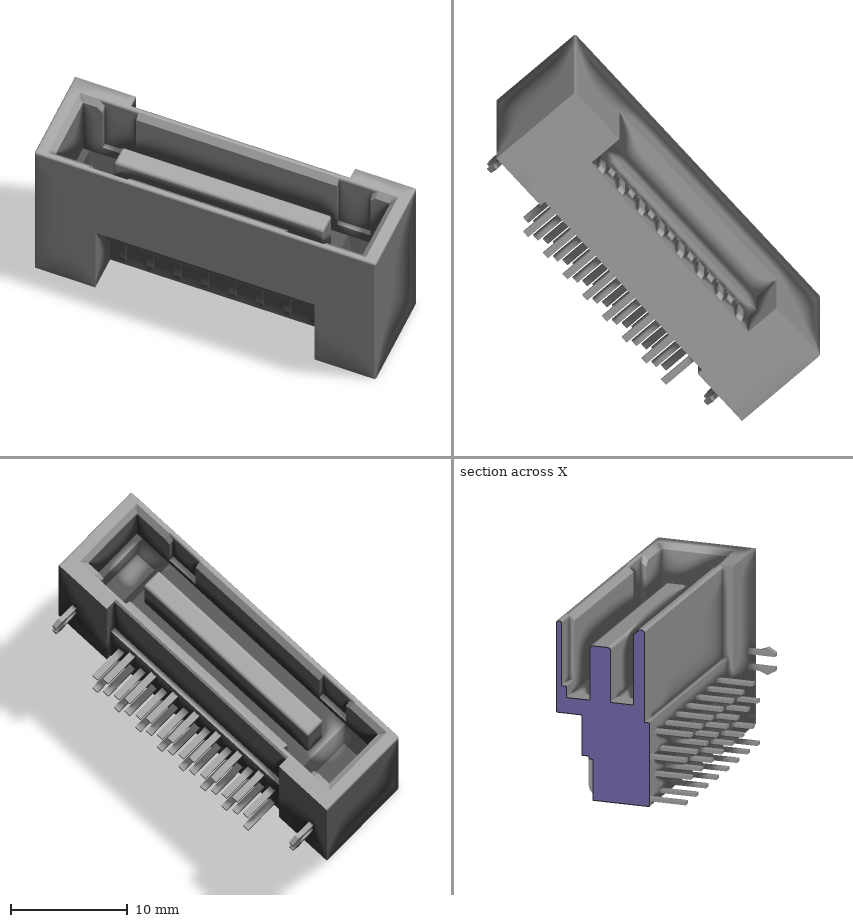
import cadquery as cq


LENGTH = 31.65
DEPTH = 9.0
HEIGHT = 15.8
EDGE_RADIUS = 0.2

RELIEF_LENGTH = 20.3
FRONT_RELIEF_HEIGHT = 7.55
FRONT_RELIEF_DEPTH = 2.3
PIN_RELIEF_HEIGHT = 3.93
PIN_WALL_Y = 3.3
REAR_WALL_Y = 8.05
REAR_WALL_CHAMFER = 0.2
REAR_LEDGE_Y = 8.5
REAR_LEDGE_HEIGHT = FRONT_RELIEF_HEIGHT

CAVITY_LENGTH = 28.45
CAVITY_FRONT_Y = 0.97
CAVITY_REAR_Y = 7.02
CAVITY_FLOOR_Z = 9.0
MOUTH_BEVEL = 0.52

KEYWAY_DEPTH = 0.47
KEYWAY_BOTTOM_Z = 10.0
KEYWAY_END_BEVEL = 0.5
KEYWAY_RIM_RADIUS = 0.23
REAR_KEYWAY_INNER_X = 9.3
REAR_KEYWAY_OUTER_X = 12.4
FRONT_KEYWAY_INNER_X = 7.3
FRONT_KEYWAY_OUTER_X = 10.4

POCKET_MOUTH_X = (10.35, 13.6)
POCKET_BOTTOM_X = (11.2, 13.25)
POCKET_BOTTOM_Y = (2.0, 6.0)
POCKET_DEPTH = 1.4

TONGUE_LENGTH = 19.4
TONGUE_THICKNESS = 1.9
TONGUE_Y = 4.0
TONGUE_TOP_Z = 13.9
TONGUE_RADIUS = 0.3
TONGUE_CORNER_RADIUS = 0.2

PIN_COUNT = 15
PIN_PITCH = 1.27
PIN_WIDTH = 0.62
PIN_THICKNESS = 0.3
PIN_TIP_Y = 11.8
LOWEST_ROW_Z = 0.62
ROW_PITCH = 1.905
PIN_PROTRUSION = 0.33
PIN_BEND_RADIUS = 0.87
SHOULDER_WIDTH = 1.08
SHOULDER_HEIGHT = 0.26

PEG_SPACING = 27.94
PEG_WIDTH = 0.45
PEG_CENTER_Z = 6.4
PRONG_TIP_Y = 11.5
PRONG_INNER = 0.475
PRONG_OUTER = 0.92
PRONG_SHOULDER = 1.16
PRONG_BARB = 1.22
PRONG_TIP = 0.82
PRONG_NECK_Y = 10.05
PRONG_BARB_Y = (10.7, 10.9)


def block(x_range, y_range, z_range):
    """Axis-aligned box spanning the three ranges."""
    size = [high - low for low, high in (x_range, y_range, z_range)]
    corner = (x_range[0], y_range[0], z_range[0])
    return cq.Workplane("XY").box(*size, centered=False).translate(corner)


def tapered_block(bottom_x, bottom_y, bottom_z, top_x, top_y, top_z):
    """Flat-sided block between a bottom rectangle and a top rectangle."""
    def center(span):
        return (span[0] + span[1]) / 2

    def size(span):
        return span[1] - span[0]

    shift = (center(top_x) - center(bottom_x), center(top_y) - center(bottom_y))
    return (
        cq.Workplane("XY")
        .workplane(offset=bottom_z)
        .center(center(bottom_x), center(bottom_y))
        .rect(size(bottom_x), size(bottom_y))
        .workplane(offset=top_z - bottom_z)
        .center(*shift)
        .rect(size(top_x), size(top_y))
        .loft(ruled=True)
    )


def centered(length):
    return (-length / 2, length / 2)


def both_ends(shape):
    """The shape together with its mirror image across the YZ plane."""
    return shape.union(shape.mirror("YZ"))


def make_housing():
    relief_x = centered(RELIEF_LENGTH)
    housing = block(centered(LENGTH), (0, DEPTH), (0, HEIGHT))
    housing = housing.edges("|Z and <Y").fillet(EDGE_RADIUS)
    housing = housing.faces(">Z").edges("not >Y").fillet(EDGE_RADIUS)
    housing = housing.cut(block(relief_x, (REAR_WALL_Y, DEPTH), (REAR_LEDGE_HEIGHT, HEIGHT)))
    rear_wall_edge = cq.selectors.NearestToPointSelector((0, REAR_WALL_Y, HEIGHT))
    housing = housing.edges(rear_wall_edge).chamfer(REAR_WALL_CHAMFER)
    housing = housing.cut(block(relief_x, (REAR_LEDGE_Y, DEPTH), (0, REAR_LEDGE_HEIGHT)))
    housing = housing.cut(block(relief_x, (0, FRONT_RELIEF_DEPTH), (0, FRONT_RELIEF_HEIGHT)))
    return housing.cut(block(relief_x, (0, PIN_WALL_Y), (0, PIN_RELIEF_HEIGHT)))


def make_cavity():
    cavity_x = centered(CAVITY_LENGTH)
    cavity_y = (CAVITY_FRONT_Y, CAVITY_REAR_Y)
    bevel_z = HEIGHT - MOUTH_BEVEL
    mouth_x = centered(CAVITY_LENGTH + 2 * MOUTH_BEVEL)
    mouth_y = (CAVITY_FRONT_Y - MOUTH_BEVEL, CAVITY_REAR_Y + MOUTH_BEVEL)
    cavity = block(cavity_x, cavity_y, (CAVITY_FLOOR_Z, HEIGHT))
    return cavity.union(tapered_block(cavity_x, cavity_y, bevel_z, mouth_x, mouth_y, HEIGHT))


def make_keyway(inner_x, outer_x, wall_y, floor_y):
    """Pair of keyways cut from the cavity wall at wall_y back to floor_y."""
    outward = 1 if floor_y > wall_y else -1
    bevelled_x = outer_x + KEYWAY_END_BEVEL
    slot = block((inner_x, outer_x), sorted((TONGUE_Y, floor_y)), (KEYWAY_BOTTOM_Z, HEIGHT))

    rim = (
        cq.Workplane("YZ", origin=(inner_x, floor_y, HEIGHT))
        .moveTo(0, -KEYWAY_RIM_RADIUS)
        .radiusArc((outward * KEYWAY_RIM_RADIUS, 0), outward * KEYWAY_RIM_RADIUS)
        .lineTo(0, 0)
        .close()
        .extrude(bevelled_x - inner_x)
    )

    bevel_foot = cq.Wire.makePolygon(
        [
            cq.Vector(outer_x, wall_y, HEIGHT - MOUTH_BEVEL - KEYWAY_END_BEVEL),
            cq.Vector(bevelled_x, wall_y, HEIGHT - MOUTH_BEVEL),
            cq.Vector(outer_x, wall_y, HEIGHT - MOUTH_BEVEL),
        ],
        close=True,
    )
    bevel_run = cq.Vector(0, floor_y - wall_y, abs(floor_y - wall_y))
    end_bevel = cq.Solid.extrudeLinear(bevel_foot, [], bevel_run)

    return both_ends(slot.union(rim).union(cq.Workplane(end_bevel)))


def make_keyways():
    rear_y = CAVITY_REAR_Y + KEYWAY_DEPTH
    front_y = CAVITY_FRONT_Y - KEYWAY_DEPTH
    rear = make_keyway(REAR_KEYWAY_INNER_X, REAR_KEYWAY_OUTER_X, CAVITY_REAR_Y, rear_y)
    front = make_keyway(FRONT_KEYWAY_INNER_X, FRONT_KEYWAY_OUTER_X, CAVITY_FRONT_Y, front_y)
    return rear.union(front)


def make_pockets():
    bottom_z = CAVITY_FLOOR_Z - POCKET_DEPTH
    mouth_y = (CAVITY_FRONT_Y, CAVITY_REAR_Y)
    return both_ends(
        tapered_block(POCKET_BOTTOM_X, POCKET_BOTTOM_Y, bottom_z, POCKET_MOUTH_X, mouth_y, CAVITY_FLOOR_Z)
    )


def make_tongue():
    half_thickness = TONGUE_THICKNESS / 2
    tongue_y = (TONGUE_Y - half_thickness, TONGUE_Y + half_thickness)
    tongue = block(centered(TONGUE_LENGTH), tongue_y, (CAVITY_FLOOR_Z, TONGUE_TOP_Z))
    tongue = tongue.edges("|Z").fillet(TONGUE_CORNER_RADIUS)
    return tongue.faces(">Z").edges().fillet(TONGUE_RADIUS)


def make_bent_pin(x, row_z):
    """Front-row pin: comes down the front of the pin wall and bends rearward at row_z."""
    front_y = PIN_WALL_Y - PIN_PROTRUSION
    bottom_z = row_z - PIN_THICKNESS / 2
    embedded_y = front_y + PIN_BEND_RADIUS + PIN_THICKNESS
    pin_x = (x - PIN_WIDTH / 2, x + PIN_WIDTH / 2)
    shoulder_x = (x - SHOULDER_WIDTH / 2, x + SHOULDER_WIDTH / 2)
    shoulder_z = (PIN_RELIEF_HEIGHT - SHOULDER_HEIGHT, PIN_RELIEF_HEIGHT)
    drop = block(pin_x, (front_y, embedded_y), (bottom_z, PIN_RELIEF_HEIGHT))
    drop = drop.edges("|X and <Y and <Z").fillet(PIN_BEND_RADIUS)
    return drop.union(block(shoulder_x, (front_y, PIN_WALL_Y), shoulder_z))


def make_tail(x, row_z):
    """Straight pin tail leaving the rear of the housing."""
    half_thickness = PIN_THICKNESS / 2
    pin_x = (x - PIN_WIDTH / 2, x + PIN_WIDTH / 2)
    return block(pin_x, (REAR_WALL_Y, PIN_TIP_Y), (row_z - half_thickness, row_z + half_thickness))


def add_pins(body):
    for index in range(PIN_COUNT):
        x = (index - (PIN_COUNT - 1) / 2) * PIN_PITCH
        front_row_z = LOWEST_ROW_Z + (index % 2) * ROW_PITCH
        rear_row_z = front_row_z + 2 * ROW_PITCH
        body = body.union(make_bent_pin(x, front_row_z))
        body = body.union(make_tail(x, front_row_z))
        body = body.union(make_tail(x, rear_row_z))
    return body


def make_prong(x):
    """Upper prong of a snap peg, with its barb facing away from the peg's centre plane."""
    root_y = REAR_WALL_Y
    barb_peak_y = sum(PRONG_BARB_Y) / 2
    prong = (
        cq.Workplane("YZ")
        .moveTo(root_y, PRONG_INNER)
        .lineTo(PRONG_TIP_Y, PRONG_INNER)
        .lineTo(PRONG_TIP_Y, PRONG_TIP)
        .lineTo(PRONG_BARB_Y[1], PRONG_SHOULDER)
        .threePointArc((barb_peak_y, PRONG_BARB), (PRONG_BARB_Y[0], PRONG_SHOULDER))
        .lineTo(PRONG_NECK_Y, PRONG_OUTER)
        .lineTo(root_y, PRONG_OUTER)
        .close()
        .extrude(PEG_WIDTH)
    )
    return prong.translate((x - PEG_WIDTH / 2, 0, 0))


def make_pegs():
    prong = make_prong(PEG_SPACING / 2)
    peg = prong.union(prong.mirror("XY")).translate((0, 0, PEG_CENTER_Z))
    return both_ends(peg)


body = make_housing()
body = body.cut(make_cavity()).cut(make_keyways()).cut(make_pockets())
body = body.union(make_tongue())
body = add_pins(body)
result = body.union(make_pegs())